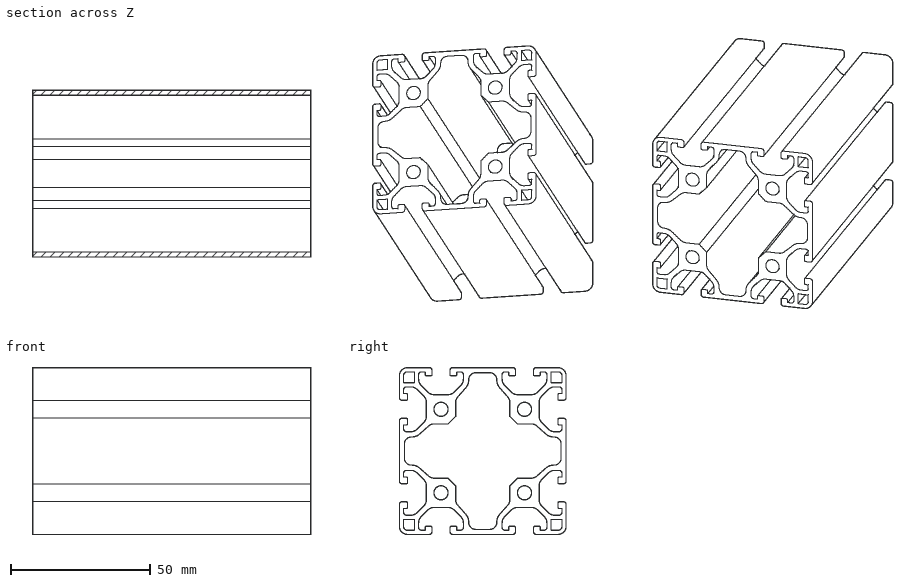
import cadquery as cq
import math

LENGTH = 100.0
SIDE = 60.0
SIDES = 4
HALF = SIDE / 2
PITCH = 30.0
HUB_OFFSET = PITCH / 2
CORNER_RADIUS = 3.0

HOLE_DIAMETER = 5.0
HUB_HALF = 5.3
HUB_CHAMFER = 2.8

OPENING_HALF = 3.2
LIP_WIDTH = 2.5
LIP_DEPTH = 3.0
FLANGE = 1.6
SLOT_HALF = 8.0
RIB_GAP = 1.5
LIP_RADIUS = 1.0
LIP_TIP_RADIUS = 0.5
SLOT_RADIUS = 0.9
SLOT_BEND_RADIUS = 3.0
OVERHANG = 2.0

CELL_WEB = 1.6
CELL_RADIUS = 1.2

CAVITY_WALL = 1.9
CAVITY_HALF = 5.0
ARM_DEPTH = 6.1
HUB_JOIN = 3.6
ARM_RADIUS = 2.4
ARM_BEND_RADIUS = 4.3
HUB_RADIUS = 3.0


def rounded_prism(corners):
    """Extrude a closed outline of (y, z, corner radius) along the full length."""
    path = []
    for i, (y, z, radius) in enumerate(corners):
        corner = cq.Vector(y, z, 0)
        back = (cq.Vector(*corners[i - 1][:2], 0) - corner).normalized()
        ahead = (cq.Vector(*corners[(i + 1) % len(corners)][:2], 0) - corner).normalized()
        half_angle = back.getAngle(ahead) / 2
        tangent = radius / math.tan(half_angle)
        bisector = (back + ahead).normalized()
        middle = corner + bisector * (radius / math.sin(half_angle) - radius)
        path.append((corner + back * tangent, middle, corner + ahead * tangent, radius))

    outline = cq.Workplane("YZ").moveTo(*path[0][2].toTuple()[:2])
    for start, middle, end, radius in path[1:] + path[:1]:
        outline = outline.lineTo(*start.toTuple()[:2])
        if radius > 0:
            outline = outline.threePointArc(middle.toTuple()[:2], end.toTuple()[:2])
    return outline.close().extrude(LENGTH / 2, both=True)


def slot_cutter():
    """T-slot space opening through the top face above the +Y hub."""
    floor_depth = HUB_OFFSET - HUB_HALF
    wall_depth = HUB_OFFSET - SLOT_HALF - RIB_GAP
    floor_half = HUB_OFFSET - RIB_GAP - floor_depth
    catch_half = OPENING_HALF + LIP_WIDTH
    flare_half = OPENING_HALF + OVERHANG
    half_profile = [
        (flare_half, -OVERHANG, 0),
        (flare_half, 0, 0),
        (OPENING_HALF, 0, LIP_RADIUS),
        (OPENING_HALF, LIP_DEPTH, LIP_TIP_RADIUS),
        (catch_half, LIP_DEPTH, LIP_TIP_RADIUS),
        (catch_half, FLANGE, 0),
        (SLOT_HALF, FLANGE, SLOT_RADIUS),
        (SLOT_HALF, wall_depth, SLOT_BEND_RADIUS),
        (floor_half, floor_depth, SLOT_BEND_RADIUS),
    ]
    right = [(HUB_OFFSET + u, HALF - depth, r) for u, depth, r in half_profile]
    left = [(HUB_OFFSET - u, HALF - depth, r) for u, depth, r in reversed(half_profile)]
    return rounded_prism(right + left)


def cavity():
    """Cross-shaped hollow between the four hubs."""
    hub_inner = HUB_OFFSET - HUB_HALF
    arm_side = [
        (CAVITY_HALF, HALF - CAVITY_WALL, ARM_RADIUS),
        (CAVITY_HALF, HALF - ARM_DEPTH, ARM_BEND_RADIUS),
        (hub_inner, HUB_OFFSET + HUB_JOIN, HUB_RADIUS),
        (hub_inner, hub_inner + HUB_CHAMFER, 0),
    ]
    quarter = arm_side + [(z, y, r) for y, z, r in reversed(arm_side)]
    outline = []
    for _ in range(SIDES):
        outline += quarter
        quarter = [(z, -y, r) for y, z, r in quarter]
    return rounded_prism(outline)


def corner_cell():
    """Small hollow in the +Y +Z corner, rounded at its outermost edge."""
    outer = HALF - FLANGE
    inner = HUB_OFFSET + SLOT_HALF + CELL_WEB
    return rounded_prism([
        (inner, inner, 0),
        (outer, inner, 0),
        (outer, outer, CELL_RADIUS),
        (inner, outer, 0),
    ])


def screw_hole():
    """Round hole through the +Y +Z hub."""
    hole = cq.Workplane("YZ").center(HUB_OFFSET, HUB_OFFSET).circle(HOLE_DIAMETER / 2)
    return hole.extrude(LENGTH / 2, both=True)


body = cq.Workplane("XY").box(LENGTH, SIDE, SIDE).edges("|X").fillet(CORNER_RADIUS)
body = body.cut(cavity())

right_slot = slot_cutter()
left_slot = right_slot.mirror("XZ")
quarter_cutters = (right_slot, left_slot, corner_cell(), screw_hole())
for turn in range(SIDES):
    for cutter in quarter_cutters:
        body = body.cut(cutter.rotate((0, 0, 0), (1, 0, 0), turn * 360 / SIDES))

result = body